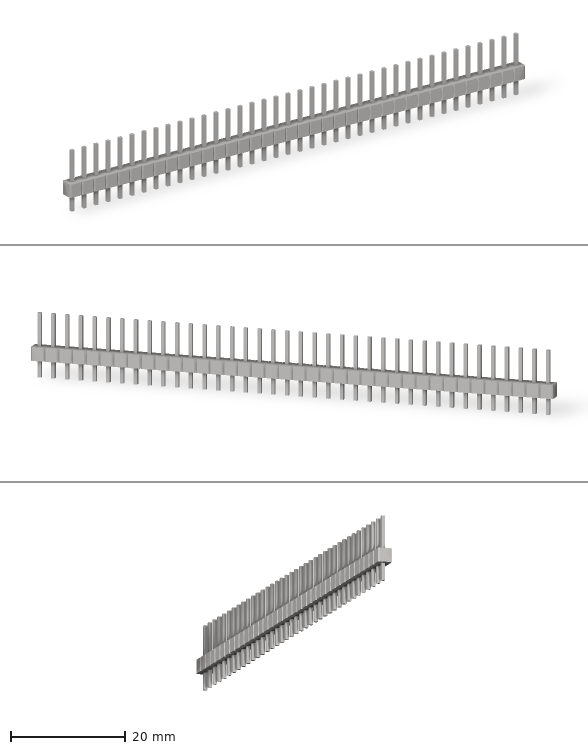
import cadquery as cq

body_length = 96.5
pin_count = 38
pitch = body_length / pin_count
body_width = pitch
body_height = 2.5
corner_chamfer = 0.24

pin_side = 0.64
pin_above = 6.0
pin_below = 3.1

pin_length = pin_below + body_height + pin_above
cell_centres = [(0, (i - (pin_count - 1) / 2) * pitch) for i in range(pin_count)]


def make_body():
    """Row of square cells; neighbouring chamfers form the V-shaped break grooves."""
    half_width = body_width / 2
    bar = cq.Workplane("XY").box(body_width, body_length, body_height, centered=(True, True, False))
    groove_side = corner_chamfer * 2 ** 0.5
    groove_points = [
        (side * half_width, i * pitch - body_length / 2)
        for i in range(pin_count + 1)
        for side in (-1, 1)
    ]
    grooves = (
        cq.Workplane("XY")
        .pushPoints(groove_points)
        .sketch()
        .rect(groove_side, groove_side, angle=45)
        .finalize()
        .extrude(body_height)
    )
    return bar.cut(grooves)


def make_pins():
    """Square pins running right through the body, one at the centre of each cell."""
    return (
        cq.Workplane("XY")
        .workplane(offset=-pin_below)
        .pushPoints(cell_centres)
        .rect(pin_side, pin_side)
        .extrude(pin_length)
    )


result = make_body().union(make_pins())